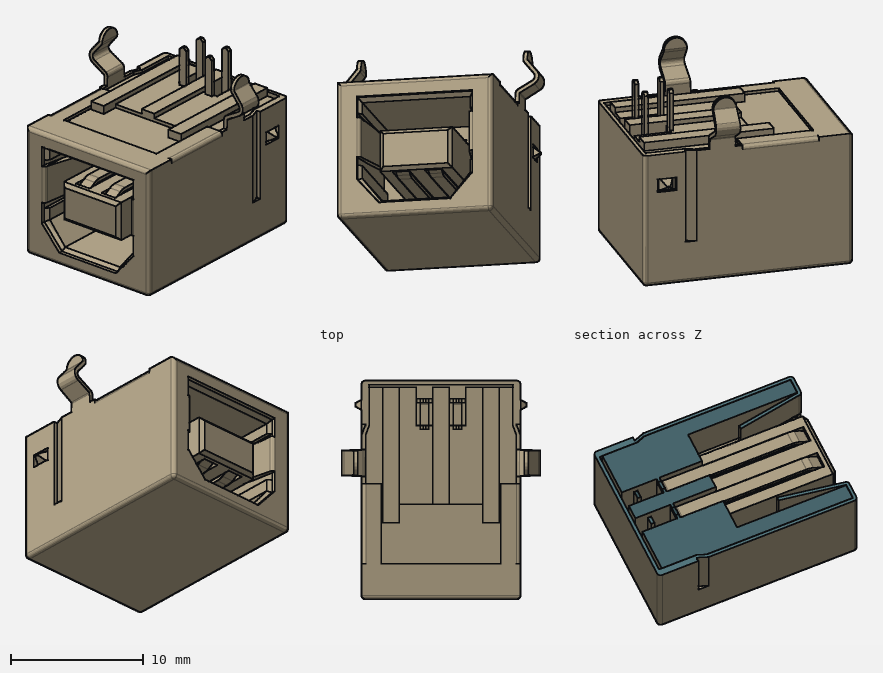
import cadquery as cq
import math


SHELL_WIDTH = 12.0
SHELL_LENGTH = 16.5
SHELL_HEIGHT = 10.6
SHEET = 0.32
HALF_WIDTH = SHELL_WIDTH / 2
INNER_HALF = HALF_WIDTH - SHEET
INNER_BACK = SHELL_LENGTH - SHEET
INNER_TOP = SHELL_HEIGHT - SHEET

TOP_STRIP_END = 2.7
FLAP_END = 8.72
FLAP_EDGE = 4.52

STEP_DEPTH = 0.27
STEP_BOTTOM = 3.29
STEP_OUTER_Y = (12.33, 13.19)
STEP_INNER_Y = (12.39, 13.1)

WINDOW_Y = (13.91, 15.41)
WINDOW_Z = (7.56, 8.60)

OPENING = {"half_top": 4.46, "top": 9.38, "corner": 2.98, "half_bottom": 2.74, "bottom": 1.03}
CAVITY = {"half_top": 4.17, "top": 9.03, "corner": 3.13, "half_bottom": 2.68, "bottom": 1.29}
LEAD_IN = 0.3
CAVITY_BACK = 9.3

SPRING_Z = (4.70, 7.75)
SPRING_TIP_Z = (4.94, 7.43)
SPRING_TIP_X = 3.3
SPRING_TIP_Y = 5.5
SPRING_SLOT_Z = (4.12, 8.15)

CLIP_Y = 10.28
CLIP_BASE_WIDTH = 2.05
CLIP_TIP_WIDTH = 1.8
CLIP_SHOULDER_Z = 14.07
CLIP_TOP = 14.86
CLIP_LEG_X = HALF_WIDTH - SHEET / 2
CLIP_BEND_Z = 11.5
CLIP_BULGE = (7.6, 12.52)
CLIP_TIP_X = 6.43
CLIP_TIP_BEND_Z = 13.95
CLIP_RADII = (0.25, 0.53, 0.2)

HOUSING_BACK = 15.99
DECK_TOP = 10.36
PAD_TOP = 10.65
PAD_HALF = 3.16
PAD_FRONT = 7.18
RIB_TOP = 11.04
RIB_WIDTH = 1.23
SIDE_RIB_X = 3.775
SIDE_RIB_FRONT = 5.77
POCKET_HALF = 1.88
POCKET_FRONT = 13.1
BARB_BASE = (1.11, 1.04)
BARB_TIP = (0.28, 0.08)
BARB_TIP_X = 6.45
BARB_Z = sum(WINDOW_Z) / 2
BARB_Y = sum(WINDOW_Y) / 2

TONGUE_HALF = 2.79
TONGUE_Z = (3.59, 6.75)
TONGUE_FRONT = SHEET
TONGUE_CHAMFER = 0.3
TONGUE_MID_Z = sum(TONGUE_Z) / 2
SLOT_WIDTH = 1.31
SLOT_FRONT = 0.95
SLOT_DEPTH = 0.55
UPPER_SLOT_TOP = 8.01
LOWER_SLOT_BOTTOM = 2.63
LOWER_SLOT_BACK = 12.3

CONTACT_X = 1.25
CONTACT_THICK = 0.3
BLADE_WIDTH = 1.03
PIN_WIDTH = 0.65
PIN_TOP = 13.86
PIN_CHAMFER = 0.22
FRONT_PIN_Y = 12.97
REAR_PIN_Y = 14.96
UPPER_BLADE_Z = 6.9
LOWER_BLADE_Z = 3.54
UPPER_BEND_RADIUS = 0.35
LOWER_BEND_RADIUS = 0.27
BLADE_BEND_TOP = 7.3
TIP_BEND_Y = 2.1
TIP_END_Y = 1.05
TIP_DROP = 0.6
TIP_RADIUS = 1.0
SHOULDER_WIDTH = 1.15
SHOULDER_Z = (8.0, 9.0)


def box(x_range, y_range, z_range):
    sizes = [high - low for low, high in (x_range, y_range, z_range)]
    return cq.Workplane("XY").box(*sizes, centered=False).translate((x_range[0], y_range[0], z_range[0]))


def both_sides(shape):
    """The shape together with its mirror image across X = 0."""
    return shape.union(shape.mirror("YZ"))


def offset_side(path, radii, offset):
    """One side of a bent strip: its end points, and (start, middle, end) of each bend's arc."""
    bends = []
    directions = []
    for (ax, ay), (bx, by) in zip(path, path[1:]):
        length = math.hypot(bx - ax, by - ay)
        directions.append(((bx - ax) / length, (by - ay) / length))
    for (px, py), radius, before, after in zip(path[1:-1], radii, directions, directions[1:]):
        turn = math.atan2(before[0] * after[1] - before[1] * after[0],
                          before[0] * after[0] + before[1] * after[1])
        side = math.copysign(1, turn)
        setback = radius * math.tan(abs(turn) / 2)
        centre_x = px - setback * before[0] - side * radius * before[1]
        centre_y = py - setback * before[1] + side * radius * before[0]
        heading = math.atan2(before[1], before[0])
        reach = side * radius - offset
        bends.append([
            (centre_x + reach * math.sin(heading + turn * share),
             centre_y - reach * math.cos(heading + turn * share))
            for share in (0, 0.5, 1)
        ])
    ends = []
    for (px, py), (dx, dy) in ((path[0], directions[0]), (path[-1], directions[-1])):
        ends.append((px - offset * dy, py + offset * dx))
    return ends, bends


def bent_strip(plane, path, radii, thickness, width):
    """A strip of even thickness along a path with rounded bends, centred on the plane."""
    (left_start, left_end), left_bends = offset_side(path, radii, thickness / 2)
    (right_start, right_end), right_bends = offset_side(path, radii, -thickness / 2)
    outline = cq.Workplane(plane).moveTo(*left_start)
    for start, middle, end in left_bends:
        outline = outline.lineTo(*start).threePointArc(middle, end)
    outline = outline.lineTo(*left_end).lineTo(*right_end)
    for start, middle, end in reversed(right_bends):
        outline = outline.lineTo(*end).threePointArc(middle, start)
    return outline.lineTo(*right_start).close().extrude(width / 2, both=True)


def opening_points(shape):
    right = [
        (shape["half_bottom"], shape["bottom"]),
        (shape["half_top"], shape["corner"]),
        (shape["half_top"], shape["top"]),
    ]
    return right + [(-x, z) for x, z in reversed(right)]


def opening_prism(shape, front, back):
    sketch = cq.Workplane("XZ", origin=(0, front, 0)).polyline(opening_points(shape)).close()
    return sketch.extrude(front - back)


def shell_plates():
    """The folded sheet box, open on top behind the front strip and between the flaps."""
    plates = box((-HALF_WIDTH, HALF_WIDTH), (0, SHELL_LENGTH), (0, SHELL_HEIGHT))
    plates = plates.edges("|Z or <Z or (<Y and >Z)").fillet(SHEET)
    plates = plates.cut(box((-INNER_HALF, INNER_HALF), (SHEET, INNER_BACK), (SHEET, INNER_TOP)))
    plates = plates.cut(box((-FLAP_EDGE, FLAP_EDGE), (TOP_STRIP_END, FLAP_END), (INNER_TOP, SHELL_HEIGHT)))
    plates = plates.cut(box((-INNER_HALF, INNER_HALF), (FLAP_END, INNER_BACK), (INNER_TOP, SHELL_HEIGHT)))
    return plates.cut(opening_prism(OPENING, 0, SHEET))


def flap_bends():
    """The material removed to round the bends between the side walls and the flaps."""
    corner = box((INNER_HALF, HALF_WIDTH), (TOP_STRIP_END, FLAP_END), (INNER_TOP, SHELL_HEIGHT))
    bend = cq.Workplane("XZ", origin=(0, TOP_STRIP_END, 0)).center(INNER_HALF, INNER_TOP)
    bend = bend.circle(SHEET).extrude(TOP_STRIP_END - FLAP_END)
    return both_sides(corner.cut(bend))


def extrude_step(points):
    step = cq.Workplane("XY", origin=(0, 0, STEP_BOTTOM)).polyline(points).close()
    return both_sides(step.extrude(SHELL_HEIGHT - STEP_BOTTOM))


def step_grooves():
    start, end = STEP_OUTER_Y
    return extrude_step([(HALF_WIDTH, start), (INNER_HALF, end), (HALF_WIDTH, end)])


def stepped_walls():
    start, end = STEP_INNER_Y
    stepped_x = INNER_HALF - STEP_DEPTH
    return extrude_step([
        (INNER_HALF, start), (stepped_x, end), (stepped_x, INNER_BACK), (INNER_HALF, INNER_BACK),
    ])


def tab_windows():
    return both_sides(box((INNER_HALF, HALF_WIDTH), WINDOW_Y, WINDOW_Z))


def contact_springs():
    """Leaves folded in from the front plate, tapering as they lean toward the tongue."""
    root_x = OPENING["half_top"]
    lip_x = CAVITY["half_top"]
    bend = root_x - lip_x
    bend_middle = (root_x - bend * math.sin(math.pi / 4), bend * (1 - math.cos(math.pi / 4)))
    leaf = (
        cq.Workplane("XY")
        .moveTo(root_x, 0)
        .threePointArc(bend_middle, (lip_x, bend))
        .lineTo(SPRING_TIP_X, SPRING_TIP_Y)
        .lineTo(SPRING_TIP_X + SHEET, SPRING_TIP_Y)
        .lineTo(root_x, SHEET)
        .close()
        .extrude(SHELL_HEIGHT)
    )
    taper = cq.Workplane("XZ").polyline([
        (SPRING_TIP_X, SPRING_TIP_Z[0]), (lip_x, SPRING_Z[0]), (root_x, SPRING_Z[0]),
        (root_x, SPRING_Z[1]), (lip_x, SPRING_Z[1]), (SPRING_TIP_X, SPRING_TIP_Z[1]),
    ]).close().extrude(-SHELL_LENGTH)
    return both_sides(leaf.intersect(taper))


def board_clips():
    path = [
        (CLIP_LEG_X, INNER_TOP), (CLIP_LEG_X, CLIP_BEND_Z), CLIP_BULGE,
        (CLIP_TIP_X, CLIP_TIP_BEND_Z), (CLIP_TIP_X, CLIP_TOP),
    ]
    strip = bent_strip("XZ", path, CLIP_RADII, SHEET, 2 * SHELL_LENGTH)
    side_outline = (
        cq.Workplane("YZ", origin=(0, CLIP_Y, 0))
        .moveTo(-CLIP_BASE_WIDTH / 2, INNER_TOP)
        .lineTo(CLIP_BASE_WIDTH / 2, INNER_TOP)
        .lineTo(CLIP_BASE_WIDTH / 2, SHELL_HEIGHT)
        .lineTo(CLIP_TIP_WIDTH / 2, CLIP_SHOULDER_Z)
        .threePointArc((0, CLIP_TOP), (-CLIP_TIP_WIDTH / 2, CLIP_SHOULDER_Z))
        .lineTo(-CLIP_BASE_WIDTH / 2, SHELL_HEIGHT)
        .close()
        .extrude(SHELL_WIDTH)
    )
    return both_sides(strip.intersect(side_outline))


def make_shell():
    shell = shell_plates().cut(flap_bends()).cut(step_grooves()).cut(tab_windows())
    return shell.union(stepped_walls()).union(contact_springs()).union(board_clips())


def make_pin(y, bottom):
    half = PIN_WIDTH / 2
    pin = box((-half, half), (y - CONTACT_THICK / 2, y + CONTACT_THICK / 2), (bottom, PIN_TOP))
    return pin.edges("|Y and >Z").chamfer(PIN_CHAMFER)


def tip_path(blade_z):
    """Free end of a contact, bending from the blade toward the tongue's middle plane."""
    drop = math.copysign(TIP_DROP, TONGUE_MID_Z - blade_z)
    return [(TIP_END_Y, blade_z + drop), (TIP_BEND_Y, blade_z)]


def make_upper_contact():
    """Spring above the tongue, turned up into the front row of pins."""
    path = tip_path(UPPER_BLADE_Z) + [(FRONT_PIN_Y, UPPER_BLADE_Z), (FRONT_PIN_Y, BLADE_BEND_TOP)]
    radii = (TIP_RADIUS, UPPER_BEND_RADIUS)
    blade = bent_strip("YZ", path, radii, CONTACT_THICK, BLADE_WIDTH)
    return blade.union(make_pin(FRONT_PIN_Y, BLADE_BEND_TOP))


def make_lower_contact():
    """Spring below the tongue, running back to the rear row of pins."""
    path = tip_path(LOWER_BLADE_Z) + [(POCKET_FRONT, LOWER_BLADE_Z)]
    blade = bent_strip("YZ", path, (TIP_RADIUS,), CONTACT_THICK, BLADE_WIDTH)
    tail_path = [(POCKET_FRONT, LOWER_BLADE_Z), (REAR_PIN_Y, LOWER_BLADE_Z), (REAR_PIN_Y, SHOULDER_Z[0])]
    tail = bent_strip("YZ", tail_path, (LOWER_BEND_RADIUS,), CONTACT_THICK, PIN_WIDTH)
    shoulder = box(
        (-SHOULDER_WIDTH / 2, SHOULDER_WIDTH / 2),
        (REAR_PIN_Y - CONTACT_THICK / 2, REAR_PIN_Y + CONTACT_THICK / 2),
        SHOULDER_Z,
    )
    return blade.union(tail).union(make_pin(REAR_PIN_Y, SHOULDER_Z[0])).union(shoulder)


def housing_block():
    block = box((-INNER_HALF, INNER_HALF), (SHEET, HOUSING_BACK), (SHEET, DECK_TOP))
    return block.union(box((-PAD_HALF, PAD_HALF), (PAD_FRONT, HOUSING_BACK), (DECK_TOP, PAD_TOP)))


def plug_cavity():
    """Space for the plug, with its lead-in and the side slots that clear the springs."""
    lead_in = (
        cq.Workplane("XZ", origin=(0, SHEET, 0))
        .polyline(opening_points(OPENING)).close()
        .workplane(offset=-LEAD_IN)
        .polyline(opening_points(CAVITY)).close()
        .loft(ruled=True)
    )
    slot_half = OPENING["half_top"]
    slots = box((-slot_half, slot_half), (SHEET, CAVITY_BACK), SPRING_SLOT_Z)
    return opening_prism(CAVITY, SHEET, CAVITY_BACK).union(lead_in).union(slots)


def tongue():
    body = box((-TONGUE_HALF, TONGUE_HALF), (TONGUE_FRONT, CAVITY_BACK), TONGUE_Z)
    return body.faces("<Y").chamfer(TONGUE_CHAMFER)


def contact_slots(x):
    """Slots along the tongue that run on through the cavity's back wall."""
    x_range = (x - SLOT_WIDTH / 2, x + SLOT_WIDTH / 2)
    upper_back = FRONT_PIN_Y - CONTACT_THICK / 2
    upper = box(x_range, (SLOT_FRONT, upper_back), (TONGUE_Z[1] - SLOT_DEPTH, UPPER_SLOT_TOP))
    lower = box(x_range, (SLOT_FRONT, LOWER_SLOT_BACK), (LOWER_SLOT_BOTTOM, TONGUE_Z[0] + SLOT_DEPTH))
    return upper.union(lower)


def pin_pocket():
    return box((-POCKET_HALF, POCKET_HALF), (POCKET_FRONT, HOUSING_BACK), (SHEET, PAD_TOP))


def standoff_ribs():
    """Three ribs on top; the middle one also divides the pin pocket."""
    half = RIB_WIDTH / 2
    ribs = box((-half, half), (PAD_FRONT, HOUSING_BACK), (DECK_TOP, RIB_TOP))
    ribs = ribs.union(box((-half, half), (POCKET_FRONT, HOUSING_BACK), (SHEET, DECK_TOP)))
    side_rib = box(
        (SIDE_RIB_X - half, SIDE_RIB_X + half), (SIDE_RIB_FRONT, HOUSING_BACK), (DECK_TOP, RIB_TOP)
    )
    return ribs.union(both_sides(side_rib))


def latch_barbs():
    """Pyramids that latch the housing in the shell's windows, on blocks through the stepped walls."""
    root_x = INNER_HALF - STEP_DEPTH
    block = cq.Workplane("YZ", origin=(root_x, BARB_Y, BARB_Z)).rect(*BARB_BASE).extrude(STEP_DEPTH)
    pyramid = (
        cq.Workplane("YZ", origin=(INNER_HALF, BARB_Y, BARB_Z))
        .rect(*BARB_BASE)
        .workplane(offset=BARB_TIP_X - INNER_HALF)
        .rect(*BARB_TIP)
        .loft(ruled=True)
    )
    return both_sides(block.union(pyramid))


def make_housing(shell, contacts):
    housing = housing_block().cut(plug_cavity()).union(tongue()).cut(pin_pocket())
    housing = housing.union(standoff_ribs())
    for x in (-CONTACT_X, CONTACT_X):
        housing = housing.cut(contact_slots(x))
    for neighbour in [shell] + contacts:
        housing = housing.cut(neighbour)
    return housing.union(latch_barbs())


shell = make_shell().cut(latch_barbs())
contacts = []
for contact_x in (-CONTACT_X, CONTACT_X):
    contacts.append(make_upper_contact().translate((contact_x, 0, 0)))
    contacts.append(make_lower_contact().translate((contact_x, 0, 0)))
housing = make_housing(shell, contacts)

result = cq.Compound.makeCompound([shell.val(), housing.val(), *[contact.val() for contact in contacts]])